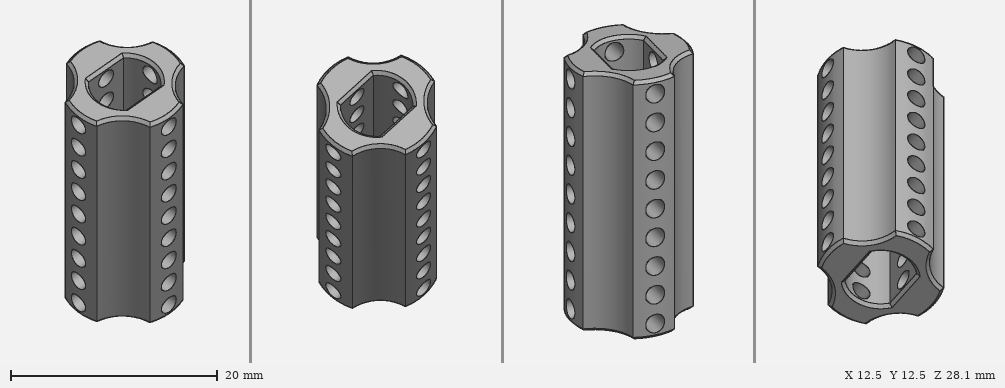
import cadquery as cq
import math

length = 28.12
outer_diameter = 12.5
bore_diameter = 7.0
bore_flat_width = 5.23
edge_chamfer = 0.35

lobe_count = 4
lobe_width = 4.45
scallop_floor_radius = 4.9

hole_diameter = 2.0
hole_count = 9
hole_pitch = length / hole_count

outer_radius = outer_diameter / 2
lobe_half_angle = math.degrees(math.asin(lobe_width / 2 / outer_radius))
lobe_spacing = 360 / lobe_count


def polar(radius, angle):
    """Point at a radius and an angle in degrees, measured from +X."""
    return (radius * math.cos(math.radians(angle)), radius * math.sin(math.radians(angle)))


def lobed_body():
    """Bar with lobes on the X and Y axes and concave scallops between them."""
    outline = cq.Workplane("XY").moveTo(*polar(outer_radius, -lobe_half_angle))
    for lobe in range(lobe_count):
        angle = lobe * lobe_spacing
        next_angle = angle + lobe_spacing
        outline = outline.threePointArc(
            polar(outer_radius, angle),
            polar(outer_radius, angle + lobe_half_angle),
        )
        outline = outline.threePointArc(
            polar(scallop_floor_radius, angle + lobe_spacing / 2),
            polar(outer_radius, next_angle - lobe_half_angle),
        )
    return outline.close().extrude(length)


def double_flat_bore():
    """Round bore with two flats facing along X, running the full length."""
    round_bore = cq.Workplane("XY").circle(bore_diameter / 2).extrude(length)
    between_flats = cq.Workplane("XY").rect(bore_flat_width, bore_diameter).extrude(length)
    return round_bore.intersect(between_flats)


def cross_holes(plane):
    """Row of through holes along Z, drilled normal to a plane containing Z."""
    centres = [(0, hole_pitch * (index + 0.5)) for index in range(hole_count)]
    return (
        cq.Workplane(plane)
        .pushPoints(centres)
        .circle(hole_diameter / 2)
        .extrude(outer_radius, both=True)
    )


result = lobed_body().cut(double_flat_bore())
result = result.faces("<Z or >Z").chamfer(edge_chamfer)

for side_plane in ("XZ", "YZ"):
    result = result.cut(cross_holes(side_plane))